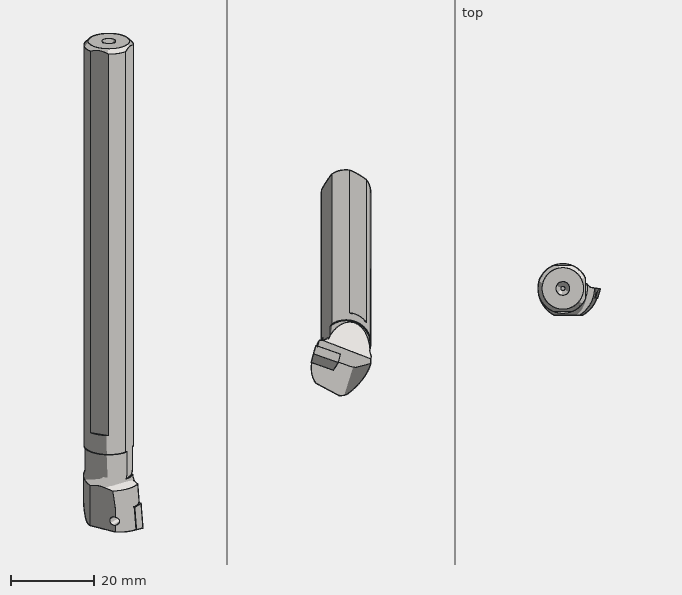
import cadquery as cq
import math


total_length = 125.0
shank_radius = 6.0
shank_length = 105.0
shank_chamfer = 1.0
flat_length = 100.0
flat_offset = 5.5
side_flat_bottom = 13.0
shank_bottom = total_length - shank_length
flat_bottom = total_length - flat_length

centre_mouth_radius = 1.65
centre_pilot_radius = 0.5
centre_half_angle = 30.0
centre_pilot_depth = 1.0

neck_radius = 5.75
neck_bottom = 14.0
flare_radius = 3.0
relief_top_radius = 7.6
relief_angle = 5.0

head_radius = 7.3
head_axis_x = head_radius - shank_radius
head_flat_y = -6.5

heel_x = head_axis_x - head_radius
heel_top = 8.3
heel_angle = 30.0
heel_skew = 14.0
heel_round = 2.5

tip_x = 9.1
tip_y = -0.1
rake_tilt = 9.0
ramp_angle = 30.0
ramp_bottom = 11.8

insert_corner = 80.0
insert_side = 6.45
insert_thickness = 2.38
insert_flank_angle = 7.0
insert_nose_radius = 0.2
edge_angle = 5.0
end_clearance = 0.3

screw_x = -3.75
screw_z = 3.5
screw_radius = 1.1

reach = 40.0


def sin_deg(angle):
    return math.sin(math.radians(angle))


def cos_deg(angle):
    return math.cos(math.radians(angle))


def tan_deg(angle):
    return math.tan(math.radians(angle))


def turned_plane(x, y, z, turn):
    """Upright plane that faces -Y, turned about the vertical so that its +X side drops to -Y."""
    return cq.Plane(
        origin=(x, y, z),
        xDir=(cos_deg(turn), -sin_deg(turn), 0),
        normal=(-sin_deg(turn), -cos_deg(turn), 0),
    )


rake_plane = turned_plane(tip_x, tip_y, 0, rake_tilt)


def make_shank():
    shank = (
        cq.Workplane("XY", origin=(0, 0, shank_bottom))
        .circle(shank_radius)
        .extrude(shank_length)
        .faces(">Z")
        .chamfer(shank_chamfer)
    )
    block = cq.Workplane("XY", origin=(0, 0, flat_bottom)).rect(reach, reach).extrude(flat_length)
    for side in (-1, 1):
        shank = shank.cut(block.translate((0, side * (flat_offset + reach / 2), 0)))
    return shank


def make_neck_and_relief():
    """Turned profile: neck, concave flare and a cone that widens down to the end of the bar."""
    flare_centre = neck_radius + flare_radius
    flare_turn = math.degrees(math.acos((flare_centre - relief_top_radius) / flare_radius))
    relief_top = neck_bottom - flare_radius * sin_deg(flare_turn)
    flare_middle = (
        flare_centre - flare_radius * cos_deg(flare_turn / 2),
        neck_bottom - flare_radius * sin_deg(flare_turn / 2),
    )
    return (
        cq.Workplane("XZ")
        .moveTo(0, shank_bottom)
        .lineTo(neck_radius, shank_bottom)
        .lineTo(neck_radius, neck_bottom)
        .threePointArc(flare_middle, (relief_top_radius, relief_top))
        .lineTo(relief_top_radius + relief_top * tan_deg(relief_angle), 0)
        .lineTo(0, 0)
        .close()
        .revolve(360, (0, 0, 0), (0, 1, 0))
    )


def make_end_block():
    """Block with the sloping end of the holder and the heel, rounded where the two meet."""
    block = (
        cq.Workplane("XZ")
        .polyline([
            (-reach, end_clearance + (tip_x + reach) * tan_deg(edge_angle)),
            (tip_x, end_clearance),
            (tip_x, reach),
            (-reach, reach),
        ])
        .close()
        .extrude(reach / 2, both=True)
    )
    heel_run = reach * tan_deg(heel_angle)
    heel = (
        cq.Workplane(turned_plane(heel_x, 0, heel_top, heel_skew))
        .polyline([
            (-heel_run, reach),
            (heel_run, -reach),
            (-2 * reach, -reach),
            (-2 * reach, reach),
        ])
        .close()
        .extrude(reach, both=True)
    )
    near_heel_edge = cq.selectors.BoxSelector(
        (heel_x, heel_x, 0), (-heel_x, -heel_x, heel_top / 2)
    )
    return block.cut(heel).edges(near_heel_edge).fillet(heel_round)


def make_head_envelope():
    cylinder = (
        cq.Workplane("XY").center(head_axis_x, 0).circle(head_radius).extrude(neck_bottom)
    )
    behind_flat = (
        cq.Workplane("XY").center(0, head_flat_y + reach / 2).rect(reach, reach).extrude(reach)
    )
    return cylinder.intersect(behind_flat).intersect(make_end_block())


def make_side_flat():
    return (
        cq.Workplane("XY", origin=(flat_offset + reach / 2, 0, side_flat_bottom))
        .rect(reach, reach)
        .extrude(total_length - side_flat_bottom)
    )


def make_rake_cut():
    """Everything on the +Y side of the rake face, up to the ramp that runs out on the neck."""
    across_rake = cq.Plane(
        origin=(tip_x, tip_y, 0),
        xDir=(sin_deg(rake_tilt), cos_deg(rake_tilt), 0),
        normal=(cos_deg(rake_tilt), -sin_deg(rake_tilt), 0),
    )
    return (
        cq.Workplane(across_rake)
        .moveTo(0, 0)
        .lineTo(0, ramp_bottom)
        .lineTo(reach * tan_deg(ramp_angle), ramp_bottom + reach)
        .lineTo(reach, 0)
        .close()
        .extrude(reach, both=True)
    )


def make_screw_hole():
    return (
        cq.Workplane(rake_plane).center(screw_x, screw_z).circle(screw_radius).extrude(reach)
    )


def make_centre_hole():
    cone_depth = (centre_mouth_radius - centre_pilot_radius) / tan_deg(centre_half_angle)
    hole_depth = cone_depth + centre_pilot_depth
    return (
        cq.Workplane("XZ", origin=(0, 0, total_length))
        .polyline([
            (0, 0),
            (centre_mouth_radius, 0),
            (centre_pilot_radius, -cone_depth),
            (centre_pilot_radius, -hole_depth),
            (0, -hole_depth),
        ])
        .close()
        .revolve(360, (0, 0, 0), (0, 1, 0))
    )


def make_insert():
    """Rhombus on the rake face that narrows with depth, its tip at the plane's origin."""
    lower_direction = 180 - edge_angle
    outer_direction = lower_direction - insert_corner
    lower_x = insert_side * cos_deg(lower_direction)
    lower_z = insert_side * sin_deg(lower_direction)
    outer_x = insert_side * cos_deg(outer_direction)
    outer_z = insert_side * sin_deg(outer_direction)
    blank = (
        cq.Workplane(rake_plane)
        .polyline([
            (0, 0),
            (lower_x, lower_z),
            (lower_x + outer_x, lower_z + outer_z),
            (outer_x, outer_z),
        ])
        .close()
        .extrude(insert_thickness, taper=insert_flank_angle)
    )
    tip_edge = blank.edges("not(#Y)").edges(
        cq.selectors.NearestToPointSelector((tip_x, tip_y - insert_thickness / 2, 0))
    )
    return tip_edge.fillet(insert_nose_radius)


def make_holder(insert):
    turned = make_neck_and_relief()
    above_head = (
        cq.Workplane("XY", origin=(0, 0, neck_bottom)).rect(reach, reach).extrude(reach)
    )
    neck = turned.intersect(above_head)
    head = turned.intersect(make_head_envelope())
    return (
        make_shank()
        .union(neck)
        .union(head)
        .cut(make_side_flat())
        .cut(make_rake_cut())
        .cut(make_screw_hole())
        .cut(make_centre_hole())
        .cut(insert)
    )


insert = make_insert()
holder = make_holder(insert)

result = cq.Compound.makeCompound([holder.val(), insert.val()])